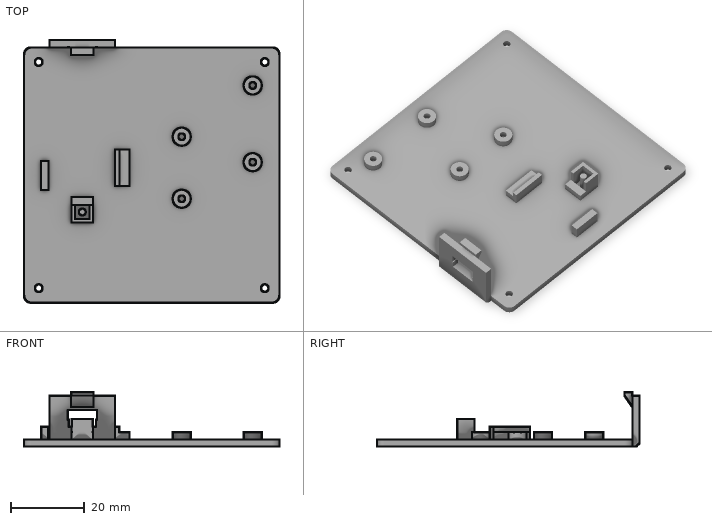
import cadquery as cq

PLATE_SIDE = 70.0
PLATE_THICKNESS = 2.0
PLATE_CORNER_RADIUS = 2.0
MOUNT_HOLE_DIAMETER = 2.0
MOUNT_HOLE_INSET = 4.0

STANDOFF_DIAMETER = 5.0
STANDOFF_HOLE_DIAMETER = 1.9
STANDOFF_HEIGHT = 2.0
STANDOFF_CENTRES = [(43.2, 28.5), (43.2, 45.5), (62.65, 38.5), (62.65, 59.55)]

CENTRE_LINE_X = 16.0

TOTAL_DEPTH = 72.0
TOTAL_HEIGHT = 15.0
BRACKET_WIDTH = 18.0
BRACKET_THICKNESS = TOTAL_DEPTH - PLATE_SIDE
BRACKET_HEIGHT = 14.0
BRACKET_HEEL_CHAMFER = 1.0

WINDOW_TOP = 10.0
WINDOW_STEP = 7.4
WINDOW_BOTTOM = 5.55
WINDOW_UPPER_WIDTH = 8.0
WINDOW_LOWER_WIDTH = 7.4

HOOK_WIDTH = 6.2
HOOK_REACH = 2.15
HOOK_LIP_HEIGHT = 1.0
HOOK_BOTTOM = 10.9

RIB_X = 4.7
RIB_Y = 30.9
RIB_WIDTH = 2.0
RIB_LENGTH = 8.0
RIB_HEIGHT = 3.5

RAIL_X = 24.9
RAIL_Y = 32.0
RAIL_WIDTH = 4.0
RAIL_LENGTH = 10.0
RAIL_WALL_THICKNESS = 1.2
RAIL_WALL_HEIGHT = RIB_HEIGHT
RAIL_LEDGE_HEIGHT = STANDOFF_HEIGHT

HOUSING_Y = 22.0
HOUSING_WIDTH = 5.8
HOUSING_LENGTH = 7.0
HOUSING_STEP_HEIGHT = STANDOFF_HEIGHT
CUP_LENGTH = 4.75
CUP_HEIGHT = 5.6
CUP_WALL = 0.9
PIN_DIAMETER = 1.9
PIN_HEIGHT = 4.5


def block(x, y, z, width, length, height):
    """Box placed by its lowest corner."""
    return cq.Workplane("XY").box(width, length, height, centered=False).translate((x, y, z))


def make_plate():
    centre = PLATE_SIDE / 2
    hole_pitch = PLATE_SIDE - 2 * MOUNT_HOLE_INSET
    return (
        cq.Workplane("XY")
        .center(centre, centre)
        .rect(PLATE_SIDE, PLATE_SIDE)
        .extrude(PLATE_THICKNESS)
        .edges("|Z")
        .fillet(PLATE_CORNER_RADIUS)
        .faces(">Z")
        .workplane(centerOption="CenterOfBoundBox")
        .rect(hole_pitch, hole_pitch, forConstruction=True)
        .vertices()
        .hole(MOUNT_HOLE_DIAMETER)
    )


def make_standoffs():
    return (
        cq.Workplane("XY", origin=(0, 0, PLATE_THICKNESS))
        .pushPoints(STANDOFF_CENTRES)
        .circle(STANDOFF_DIAMETER / 2)
        .circle(STANDOFF_HOLE_DIAMETER / 2)
        .extrude(STANDOFF_HEIGHT)
    )


def centred_block(width, y, length, bottom, top):
    """Box spanning bottom to top in Z, centred on the shared centre line in X."""
    return block(CENTRE_LINE_X - width / 2, y, bottom, width, length, top - bottom)


def make_bracket():
    wall = centred_block(BRACKET_WIDTH, PLATE_SIDE, BRACKET_THICKNESS, 0, BRACKET_HEIGHT)
    wall = wall.edges(">Y and <Z").chamfer(BRACKET_HEEL_CHAMFER)
    upper = centred_block(WINDOW_UPPER_WIDTH, PLATE_SIDE, BRACKET_THICKNESS, WINDOW_STEP, WINDOW_TOP)
    lower = centred_block(WINDOW_LOWER_WIDTH, PLATE_SIDE, BRACKET_THICKNESS, WINDOW_BOTTOM, WINDOW_STEP)
    return wall.cut(upper).cut(lower)


def make_hook():
    tip_y = PLATE_SIDE - HOOK_REACH
    profile = [
        (PLATE_SIDE, TOTAL_HEIGHT),
        (tip_y, TOTAL_HEIGHT),
        (tip_y, TOTAL_HEIGHT - HOOK_LIP_HEIGHT),
        (PLATE_SIDE, HOOK_BOTTOM),
    ]
    return (
        cq.Workplane("YZ", origin=(CENTRE_LINE_X, 0, 0))
        .polyline(profile)
        .close()
        .extrude(HOOK_WIDTH / 2, both=True)
    )


def make_rib():
    return block(RIB_X, RIB_Y, PLATE_THICKNESS, RIB_WIDTH, RIB_LENGTH, RIB_HEIGHT)


def make_rail():
    wall = block(RAIL_X, RAIL_Y, PLATE_THICKNESS, RAIL_WALL_THICKNESS, RAIL_LENGTH, RAIL_WALL_HEIGHT)
    ledge = block(RAIL_X, RAIL_Y, PLATE_THICKNESS, RAIL_WIDTH, RAIL_LENGTH, RAIL_LEDGE_HEIGHT)
    return wall.union(ledge)


def make_housing():
    cup_top = PLATE_THICKNESS + CUP_HEIGHT
    step_top = PLATE_THICKNESS + HOUSING_STEP_HEIGHT
    pocket_width = HOUSING_WIDTH - 2 * CUP_WALL
    pocket_y = HOUSING_Y + CUP_WALL
    pocket_length = CUP_LENGTH - CUP_WALL

    step = centred_block(HOUSING_WIDTH, HOUSING_Y, HOUSING_LENGTH, PLATE_THICKNESS, step_top)
    cup = centred_block(HOUSING_WIDTH, HOUSING_Y, CUP_LENGTH, PLATE_THICKNESS, cup_top)
    pocket = centred_block(pocket_width, pocket_y, pocket_length, PLATE_THICKNESS, cup_top)
    pin = (
        cq.Workplane("XY", origin=(CENTRE_LINE_X, pocket_y + pocket_length / 2, PLATE_THICKNESS))
        .circle(PIN_DIAMETER / 2)
        .extrude(PIN_HEIGHT)
    )
    return step.union(cup).cut(pocket).union(pin)


result = (
    make_plate()
    .union(make_standoffs())
    .union(make_bracket())
    .union(make_hook())
    .union(make_rib())
    .union(make_rail())
    .union(make_housing())
)